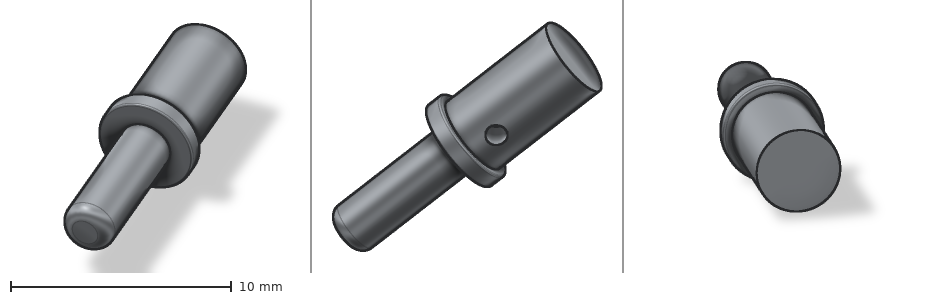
import cadquery as cq

TOTAL_LENGTH = 13.67
FLANGE_DIAMETER = 4.65
FLANGE_THICKNESS = 0.86
FLANGE_EDGE_RADIUS = 0.09
BARREL_DIAMETER = 3.86
BARREL_LENGTH = 6.03
CONTACT_DIAMETER = 2.46
CONTACT_LENGTH = TOTAL_LENGTH - FLANGE_THICKNESS - BARREL_LENGTH
TIP_RADIUS = 0.6

SIDE_HOLE_DIAMETER = 1.0
SIDE_HOLE_FROM_FLANGE = 1.41


def cylinder_along_y(diameter, start_y, length):
    """Solid cylinder centred on the Y axis, running from start_y towards +Y."""
    return cq.Workplane("XZ", origin=(0, start_y, 0)).circle(diameter / 2).extrude(-length)


def make_contact():
    """Contact pin with a rounded tip, ending at the front face of the flange."""
    contact = cylinder_along_y(CONTACT_DIAMETER, -CONTACT_LENGTH, CONTACT_LENGTH)
    return contact.faces("<Y").edges().fillet(TIP_RADIUS)


def make_flange():
    """Flange disc with both rims rounded."""
    flange = cylinder_along_y(FLANGE_DIAMETER, 0, FLANGE_THICKNESS)
    return flange.faces("<Y or >Y").edges().fillet(FLANGE_EDGE_RADIUS)


def make_barrel():
    """Plain barrel behind the flange."""
    return cylinder_along_y(BARREL_DIAMETER, FLANGE_THICKNESS, BARREL_LENGTH)


def make_side_hole():
    """Cutter for the radial hole, from the -Z side of the barrel to its axis."""
    centre_y = FLANGE_THICKNESS + SIDE_HOLE_FROM_FLANGE
    return (
        cq.Workplane("XY", origin=(0, centre_y, 0))
        .circle(SIDE_HOLE_DIAMETER / 2)
        .extrude(-BARREL_DIAMETER / 2)
    )


result = make_contact().union(make_flange()).union(make_barrel()).cut(make_side_hole())